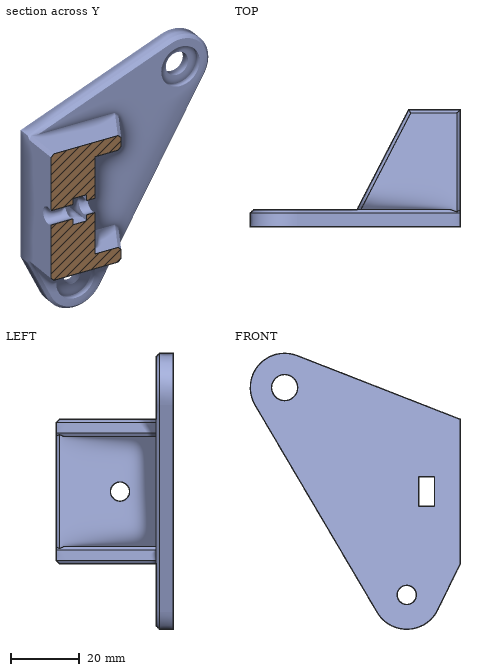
import cadquery as cq
import math

PLATE_THICKNESS = 5.0
END_RADIUS = 10.0
UPPER_HOLE_X = -35.45
UPPER_HOLE_Z = 60.18
UPPER_HOLE_DIAMETER = 7.5
LOWER_HOLE_DIAMETER = 5.5
COUNTERBORE_DIAMETER = 13.0
COUNTERBORE_DEPTH = 2.0
RIGHT_EDGE_X = 15.54
CHAMFER = 1.0

TOTAL_DEPTH = 34.05
BRACKET_HEIGHT = 42.0
BRACKET_CENTER_Z = 30.0
WEB_THICKNESS = 15.0
FLANGE_THICKNESS = 5.0
FLANGE_ROOT_WIDTH = 30.0
CROSS_HOLE_DIAMETER = 5.5
CROSS_HOLE_Y = 15.5

SLOT_WIDTH = 4.5
SLOT_HEIGHT = 8.5
SLOT_CENTER_X = RIGHT_EDGE_X - WEB_THICKNESS / 2 - SLOT_WIDTH / 2

BRACKET_START_Y = PLATE_THICKNESS - 2 * CHAMFER
BRACKET_BOTTOM_Z = BRACKET_CENTER_Z - BRACKET_HEIGHT / 2
BRACKET_TOP_Z = BRACKET_CENTER_Z + BRACKET_HEIGHT / 2


def tangent_point(center, corner, side):
    """Point of the end circle at center whose tangent passes through corner."""
    dx = corner[0] - center[0]
    dz = corner[1] - center[1]
    angle = math.atan2(dz, dx) + side * math.acos(END_RADIUS / math.hypot(dx, dz))
    return point_on_end(center, angle)


def point_on_end(center, angle):
    """Point of the end circle at center in the direction of angle."""
    return (
        center[0] + END_RADIUS * math.cos(angle),
        center[1] + END_RADIUS * math.sin(angle),
    )


def extrude_back(sketch, start_y, end_y):
    """Extrude an XZ sketch from start_y to end_y, toward +Y."""
    return sketch.extrude(start_y - end_y).translate((0, start_y, 0))


def make_plate():
    """Plate with two round ends, chamfered behind except on the straight right edge."""
    lower = (0.0, 0.0)
    upper = (UPPER_HOLE_X, UPPER_HOLE_Z)
    corner_low = (RIGHT_EDGE_X, BRACKET_BOTTOM_Z)
    corner_high = (RIGHT_EDGE_X, BRACKET_TOP_Z)
    left_normal = math.atan2(UPPER_HOLE_Z, UPPER_HOLE_X) + math.pi / 2
    upper_left = math.radians(135)
    outline = (
        cq.Workplane("XZ")
        .moveTo(*corner_low)
        .lineTo(*corner_high)
        .lineTo(*tangent_point(upper, corner_high, 1))
        .threePointArc(point_on_end(upper, upper_left), point_on_end(upper, left_normal))
        .lineTo(*point_on_end(lower, left_normal))
        .threePointArc(point_on_end(lower, -math.pi / 2), tangent_point(lower, corner_low, -1))
        .close()
    )
    plate = extrude_back(outline, 0, PLATE_THICKNESS)
    return plate.faces(">Y").edges("not >X").chamfer(CHAMFER)


def make_flange(side):
    """Tapered flange above (side = 1) or below (side = -1) the web, with chamfered edges."""
    slope = (FLANGE_ROOT_WIDTH - WEB_THICKNESS) / (TOTAL_DEPTH - PLATE_THICKNESS)
    start_width = WEB_THICKNESS + slope * (TOTAL_DEPTH - BRACKET_START_Y)
    outer_z = BRACKET_CENTER_Z + side * BRACKET_HEIGHT / 2
    flange = (
        cq.Workplane("XY", origin=(0, 0, outer_z))
        .moveTo(RIGHT_EDGE_X, BRACKET_START_Y)
        .lineTo(RIGHT_EDGE_X, TOTAL_DEPTH)
        .lineTo(RIGHT_EDGE_X - WEB_THICKNESS, TOTAL_DEPTH)
        .lineTo(RIGHT_EDGE_X - start_width, BRACKET_START_Y)
        .close()
        .extrude(-side * FLANGE_THICKNESS)
    )
    outer_face, inner_face = (">Z", "<Z") if side > 0 else ("<Z", ">Z")
    flange = flange.faces(outer_face).edges("not <Y").chamfer(CHAMFER)
    return flange.faces(inner_face).edges("<X").chamfer(CHAMFER)


def make_bracket():
    """Web with a chamfered back edge, ending halfway inside each flange."""
    web_height = BRACKET_HEIGHT - FLANGE_THICKNESS
    web_depth = TOTAL_DEPTH - BRACKET_START_Y
    web = (
        cq.Workplane("XY")
        .box(WEB_THICKNESS, web_depth, web_height)
        .translate((RIGHT_EDGE_X - WEB_THICKNESS / 2, BRACKET_START_Y + web_depth / 2, BRACKET_CENTER_Z))
        .faces(">Y")
        .edges("<X")
        .chamfer(CHAMFER)
    )
    return web.union(make_flange(1)).union(make_flange(-1))


def make_plate_hole(x, z, diameter):
    """Cutter for a plate hole, counterbored from the back of the plate."""
    bore = extrude_back(cq.Workplane("XZ").center(x, z).circle(diameter / 2), 0, PLATE_THICKNESS)
    recess = extrude_back(
        cq.Workplane("XZ").center(x, z).circle(COUNTERBORE_DIAMETER / 2),
        PLATE_THICKNESS - COUNTERBORE_DEPTH,
        PLATE_THICKNESS,
    )
    return bore.union(recess)


def make_slot():
    """Cutter for the nut slot."""
    outline = cq.Workplane("XZ").center(SLOT_CENTER_X, BRACKET_CENTER_Z).rect(SLOT_WIDTH, SLOT_HEIGHT)
    return extrude_back(outline, 0, TOTAL_DEPTH)


def make_cross_hole():
    """Cutter for the hole that crosses the web along X."""
    return (
        cq.Workplane("YZ", origin=(RIGHT_EDGE_X, CROSS_HOLE_Y, BRACKET_CENTER_Z))
        .circle(CROSS_HOLE_DIAMETER / 2)
        .extrude(-WEB_THICKNESS)
    )


result = (
    make_plate()
    .union(make_bracket())
    .cut(make_plate_hole(0, 0, LOWER_HOLE_DIAMETER))
    .cut(make_plate_hole(UPPER_HOLE_X, UPPER_HOLE_Z, UPPER_HOLE_DIAMETER))
    .cut(make_slot())
    .cut(make_cross_hole())
)